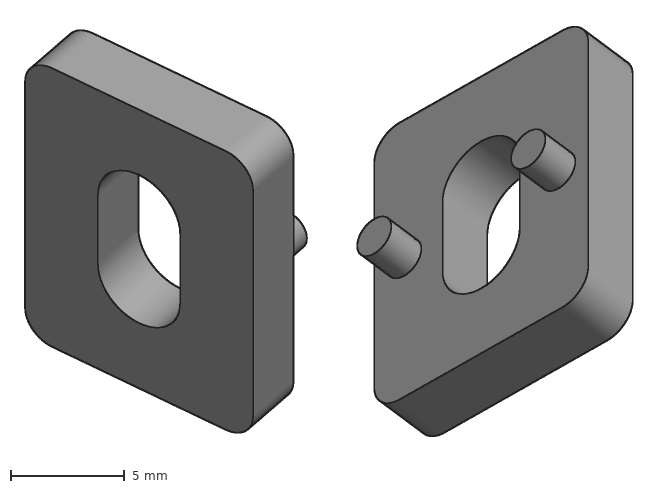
import cadquery as cq

width = 12.5
depth = 5.0
height = 16.0

corner_radius = 1.5
slot_width = 4.5
slot_length = 8.5

peg_diameter = 2.0
peg_length = 2.0
peg_spacing = 9.0
plate_thickness = depth - peg_length


def make_plate():
    """Rounded plate standing upright, front face at Y = 0."""
    plate = cq.Workplane("XY").box(width, plate_thickness, height, centered=(True, False, True))
    return plate.edges("|Y").fillet(corner_radius)


def make_slot():
    """Vertical round-ended slot through the plate thickness."""
    return cq.Workplane("XZ").slot2D(slot_length, slot_width, 90).extrude(-plate_thickness)


def make_pegs():
    """Two round pegs reaching from the plate's back face to the full depth."""
    back_plane = cq.Workplane("XZ", origin=(0, plate_thickness, 0))
    peg_centers = [(side * peg_spacing / 2, 0) for side in (-1, 1)]
    return back_plane.pushPoints(peg_centers).circle(peg_diameter / 2).extrude(-peg_length)


result = make_plate().cut(make_slot()).union(make_pegs())